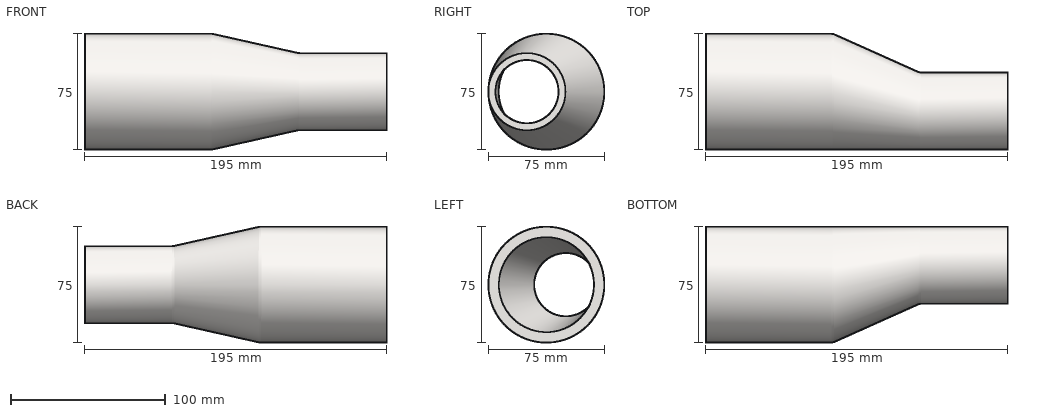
import cadquery as cq
import math

total_length = 195.0
large_length = 81.9
small_length = 57.0
large_outer = 75.0
large_bore = 61.5
small_outer = 50.0
small_bore = 40.8

blend_reach = 0.88
flush_reach = 0.1

taper_length = total_length - large_length - small_length
taper_end = large_length + taper_length
axis_offset = (large_outer - small_outer) / 2


def circle_at(x, diameter, center_y):
    """Upright circular rim at a station along the pipe, starting on its +Y side."""
    radius = diameter / 2
    center = cq.Vector(x, center_y, 0)
    return cq.Wire.makeEllipse(radius, radius, center, cq.Vector(1, 0, 0), cq.Vector(0, 1, 0))


def outer_circle(x):
    """Center Y and radius of the outside at station x."""
    fraction = min(max((x - large_length) / taper_length, 0), 1)
    center_y = -axis_offset * fraction
    radius = (large_outer + (small_outer - large_outer) * fraction) / 2
    return center_y, radius


def tilted_rim(bend_x, side):
    """Ellipse on the outside, starting at +Y; side is -1 before the bend and 1 after it."""
    far_x = bend_x + side * blend_reach
    flush_x = bend_x + side * flush_reach
    far_center, far_radius = outer_circle(far_x)
    far = cq.Vector(far_x, far_center + far_radius, 0)
    flush = cq.Vector(flush_x, -large_outer / 2, 0)
    middle = (far + flush) / 2
    middle_center, middle_radius = outer_circle(middle.x)
    half_width = math.sqrt(middle_radius**2 - (middle.y - middle_center) ** 2)
    across = cq.Vector(0, 0, 1)
    along = (far - flush).normalized()
    half_height = (far - flush).Length / 2
    rim = cq.Edge.makeEllipse(
        half_height, half_width, middle, along.cross(across), along, angle1=0, angle2=360
    )
    return cq.Wire.assembleEdges([rim])


def joined_through(rims):
    """Solid with straight walls from each rim to the next."""
    return cq.Workplane(cq.Solid.makeLoft(rims, True))


outside = joined_through([
    circle_at(0, large_outer, 0),
    tilted_rim(large_length, -1),
    tilted_rim(large_length, 1),
    tilted_rim(taper_end, -1),
    tilted_rim(taper_end, 1),
    circle_at(total_length, small_outer, -axis_offset),
])

passage = joined_through([
    circle_at(0, large_bore, 0),
    circle_at(large_length, large_bore, 0),
    circle_at(taper_end, small_bore, -axis_offset),
    circle_at(total_length, small_bore, -axis_offset),
])

result = outside.cut(passage)